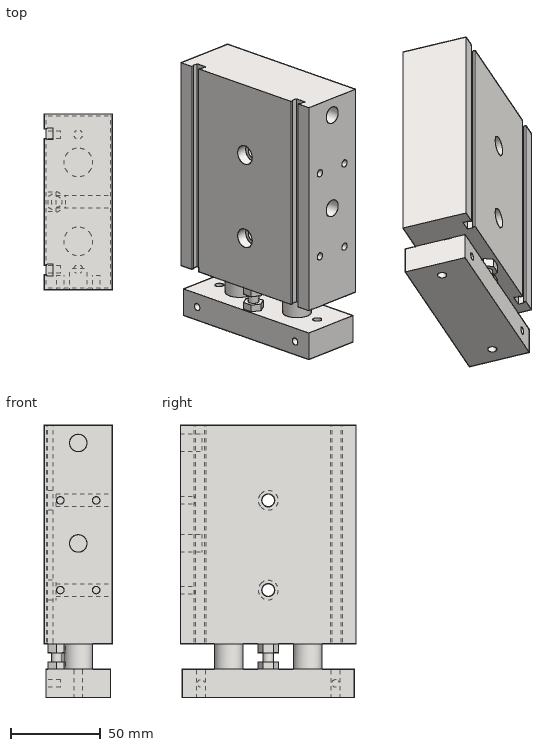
import cadquery as cq
import math


plate_thickness = 36.0
plate_width = 96.0
plate_height = 16.0
rod_diameter = 16.0
rod_spacing = 44.0
rod_gap = 14.0

plate_hole_spacing = 75.0
plate_side_hole_diameter = 4.13
plate_side_hole_depth = 8.0
plate_through_hole_diameter = 5.0

housing_thickness = 38.0
housing_width = 98.0
housing_height = 122.0
housing_bottom = plate_height + rod_gap
housing_top = housing_bottom + housing_height

slot_spacing = 76.0
slot_neck_width = 5.2
slot_width = 6.5
slot_lip = 1.2
slot_depth = 4.9
slot_flare = (slot_width - slot_neck_width) / 2

port_diameter = 9.73
port_depth = 12.0
top_port_drop = 10.0
port_spacing = 56.0
top_port_level = housing_top - top_port_drop
port_levels = (top_port_level, top_port_level - port_spacing)
tapped_hole_diameter = 4.13
tapped_hole_depth = 8.0
tapped_hole_spacing = 20.0

top_mounting_drop = 42.0
mounting_spacing = 50.0
top_mounting_level = housing_top - top_mounting_drop
mounting_levels = (top_mounting_level, top_mounting_level - mounting_spacing)
mounting_hole_diameter = 7.0
counterbore_diameter = 11.0
counterbore_depth = 6.5

bolt_x = -12.0
bolt_diameter = 6.0
hex_across_flats = 10.0
hex_across_corners = hex_across_flats / math.cos(math.pi / 6)
bolt_head_height = 5.0
nut_height = 4.0


def centred_box(width_x, width_y, height, bottom):
    return cq.Workplane("XY", origin=(0, 0, bottom)).rect(width_x, width_y).extrude(height)


def hole_along_x(face_x, y, z, diameter, depth):
    """Cylinder running from a -X face into the part."""
    return cq.Workplane("YZ", origin=(face_x, y, z)).circle(diameter / 2).extrude(depth)


def hole_along_y(x, z, diameter, depth):
    """Cylinder running from the housing's -Y face into the part."""
    return cq.Workplane("XZ", origin=(x, -housing_width / 2, z)).circle(diameter / 2).extrude(-depth)


def sensor_slot(y):
    """Undercut slot over the full housing height, with a flare behind its lips."""
    face = -housing_thickness / 2
    neck = slot_neck_width / 2
    half = slot_width / 2
    return (
        cq.Workplane("XY", origin=(face, y, housing_bottom))
        .moveTo(0, -neck)
        .lineTo(slot_lip, -neck)
        .lineTo(slot_lip + slot_flare, -half)
        .lineTo(slot_depth, -half)
        .lineTo(slot_depth, half)
        .lineTo(slot_lip + slot_flare, half)
        .lineTo(slot_lip, neck)
        .lineTo(0, neck)
        .close()
        .extrude(housing_height)
    )


def make_housing():
    housing = centred_box(housing_thickness, housing_width, housing_height, housing_bottom)
    face = -housing_thickness / 2
    for side in (-1, 1):
        housing = housing.cut(sensor_slot(side * slot_spacing / 2))
    for level in port_levels:
        housing = housing.cut(hole_along_y(0, level, port_diameter, port_depth))
    for level in mounting_levels:
        housing = housing.cut(hole_along_x(face, 0, level, mounting_hole_diameter, housing_thickness))
        housing = housing.cut(hole_along_x(face, 0, level, counterbore_diameter, counterbore_depth))
        for side in (-1, 1):
            x = side * tapped_hole_spacing / 2
            housing = housing.cut(hole_along_y(x, level, tapped_hole_diameter, tapped_hole_depth))
    return housing


def make_rod_carriage():
    """End plate in one piece with the two guide rods, which reach the housing."""
    carriage = centred_box(plate_thickness, plate_width, plate_height, 0)
    for side in (-1, 1):
        rod = (
            cq.Workplane("XY", origin=(0, side * rod_spacing / 2, 0))
            .circle(rod_diameter / 2)
            .extrude(housing_bottom)
        )
        carriage = carriage.union(rod)
    for side in (-1, 1):
        y = side * plate_hole_spacing / 2
        through_hole = (
            cq.Workplane("XY", origin=(0, y, 0))
            .circle(plate_through_hole_diameter / 2)
            .extrude(plate_height)
        )
        side_hole = hole_along_x(
            -plate_thickness / 2, y, plate_height / 2, plate_side_hole_diameter, plate_side_hole_depth
        )
        carriage = carriage.cut(through_hole).cut(side_hole)
    return carriage


def hexagon(bottom, height):
    """Hexagonal prism on the bolt axis with its corners toward +Y and -Y."""
    return (
        cq.Workplane("XY", origin=(bolt_x, 0, bottom))
        .transformed(rotate=(0, 0, 90))
        .polygon(6, hex_across_corners)
        .extrude(height)
    )


def make_stopper_bolt():
    shank = (
        cq.Workplane("XY", origin=(bolt_x, 0, plate_height))
        .circle(bolt_diameter / 2)
        .extrude(rod_gap)
    )
    nut = hexagon(plate_height, nut_height)
    head = hexagon(housing_bottom - bolt_head_height, bolt_head_height)
    return shank.union(nut).union(head)


housing = make_housing()
rod_carriage = make_rod_carriage()
stopper_bolt = make_stopper_bolt()

result = cq.Compound.makeCompound([housing.val(), rod_carriage.val(), stopper_bolt.val()])